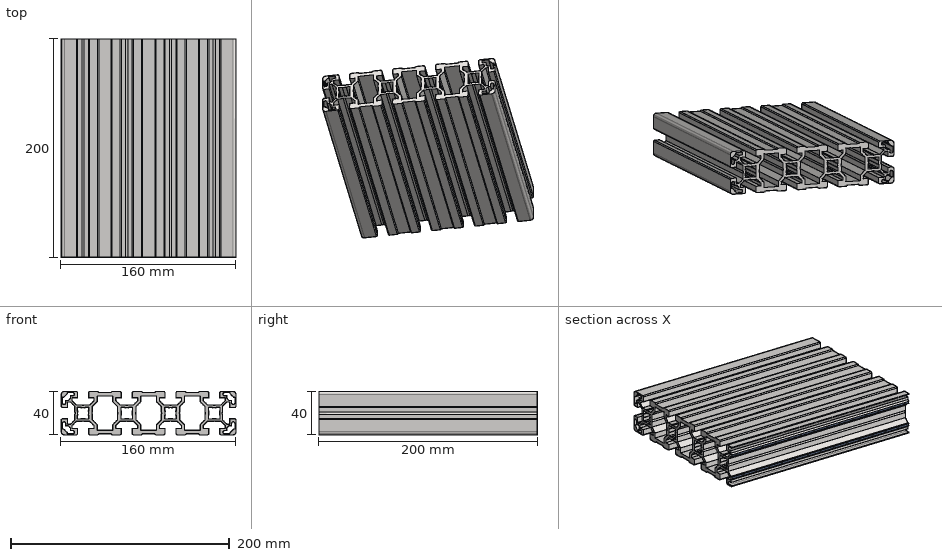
import cadquery as cq

length = 200.0
cell = 40.0
cell_count = 4
width = cell * cell_count
half_cell = cell / 2
corner_radius = 3.0

slot_mouth_half = 5.0
mouth_chamfer = 1.0
lip_thickness = 6.0
slot_half = 10.0
slot_wall_end = 11.5
slot_floor = 7.5
slope_offset = slot_wall_end - slot_half

groove_half = 1.0
groove_depth = 0.5

bore_half = 5.2
tapping_radius = 5.0
pad_half = 1.8

chamber_half = 7.0
chamber_roof = 15.5
chamber_belly_half = 11.5
chamber_wall_end = 10.5
chamber_belly_end = chamber_wall_end - (chamber_belly_half - chamber_half)

recess_half = 5.5
recess_depth = 1.0
recess_slope = 1.0

pocket_skin = 1.2
lobe_end = 12.0
lobe_inner = 4.0
lobe_radius = (lobe_inner - pocket_skin) / 2
boss_reach = 5.5
boss_step = 2.2
neck_reach = 8.5
neck_step = 6.5

cell_centres = [(i - (cell_count - 1) / 2) * cell for i in range(cell_count)]
cell_boundaries = [(a + b) / 2 for a, b in zip(cell_centres, cell_centres[1:])]


def full_length(outline):
    """Extrude a section outline along the whole part, centred on Y = 0."""
    return outline.extrude(length / 2, both=True)


def t_slot():
    """T-slot opening upward from a cell centred on the origin, with chamfered mouth edges."""
    lip_bottom = half_cell - lip_thickness
    floor_half = slot_floor - slope_offset
    mouth_top_half = slot_mouth_half + mouth_chamfer
    chamfer_end = half_cell - mouth_chamfer
    outline = (
        cq.Workplane("XZ")
        .moveTo(mouth_top_half, half_cell)
        .lineTo(slot_mouth_half, chamfer_end)
        .lineTo(slot_mouth_half, lip_bottom)
        .lineTo(slot_half, lip_bottom)
        .lineTo(slot_half, slot_wall_end)
        .lineTo(floor_half, slot_floor)
        .lineTo(groove_half, slot_floor)
        .threePointArc((0, slot_floor - groove_depth), (-groove_half, slot_floor))
        .lineTo(-floor_half, slot_floor)
        .lineTo(-slot_half, slot_wall_end)
        .lineTo(-slot_half, lip_bottom)
        .lineTo(-slot_mouth_half, lip_bottom)
        .lineTo(-slot_mouth_half, chamfer_end)
        .lineTo(-mouth_top_half, half_cell)
        .close()
    )
    return full_length(outline)


def all_slots():
    slot = t_slot()
    origin = (0, 0, 0)
    y_end = (0, 1, 0)
    upper = [slot.translate((x, 0, 0)) for x in cell_centres]
    lower = [slot.rotate(origin, y_end, 180).translate((x, 0, 0)) for x in cell_centres]
    left = slot.rotate(origin, y_end, -90).translate((cell_centres[0], 0, 0))
    right = slot.rotate(origin, y_end, 90).translate((cell_centres[-1], 0, 0))
    return upper + lower + [left, right]


def bore():
    corner_size = bore_half - pad_half
    corner_offset = (bore_half + pad_half) / 2
    tapping_hole = cq.Workplane("XZ").circle(tapping_radius)
    corners = (
        cq.Workplane("XZ")
        .rect(2 * corner_offset, 2 * corner_offset, forConstruction=True)
        .vertices()
        .rect(corner_size, corner_size)
    )
    return full_length(tapping_hole).union(full_length(corners))


def chamber():
    """Eight-sided hollow with a groove along each side wall."""
    groove_bottom = chamber_belly_half + groove_depth
    outline = (
        cq.Workplane("XZ")
        .moveTo(chamber_half, chamber_roof)
        .lineTo(chamber_half, chamber_wall_end)
        .lineTo(chamber_belly_half, chamber_belly_end)
        .lineTo(chamber_belly_half, groove_half)
        .threePointArc((groove_bottom, 0), (chamber_belly_half, -groove_half))
        .lineTo(chamber_belly_half, -chamber_belly_end)
        .lineTo(chamber_half, -chamber_wall_end)
        .lineTo(chamber_half, -chamber_roof)
        .lineTo(-chamber_half, -chamber_roof)
        .lineTo(-chamber_half, -chamber_wall_end)
        .lineTo(-chamber_belly_half, -chamber_belly_end)
        .lineTo(-chamber_belly_half, -groove_half)
        .threePointArc((-groove_bottom, 0), (-chamber_belly_half, groove_half))
        .lineTo(-chamber_belly_half, chamber_belly_end)
        .lineTo(-chamber_half, chamber_wall_end)
        .lineTo(-chamber_half, chamber_roof)
        .close()
    )
    return full_length(outline)


def recess():
    """Shallow channel with sloping sides in the top face."""
    outer_half = recess_half + recess_slope
    recess_floor = half_cell - recess_depth
    outline = (
        cq.Workplane("XZ")
        .moveTo(outer_half, half_cell)
        .lineTo(recess_half, recess_floor)
        .lineTo(-recess_half, recess_floor)
        .lineTo(-outer_half, half_cell)
        .close()
    )
    return full_length(outline)


def corner_pocket():
    """Two round-ended lobes along the faces of the upper left corner, joined at the corner."""
    lobe_middle = (pocket_skin + lobe_inner) / 2
    lobe_straight = lobe_end - lobe_radius
    outline = (
        cq.Workplane("XZ", origin=(-width / 2, 0, half_cell))
        .moveTo(boss_reach, -pocket_skin)
        .lineTo(lobe_straight, -pocket_skin)
        .threePointArc((lobe_end, -lobe_middle), (lobe_straight, -lobe_inner))
        .lineTo(neck_reach, -lobe_inner)
        .lineTo(neck_reach, -neck_step)
        .lineTo(neck_step, -neck_reach)
        .lineTo(lobe_inner, -neck_reach)
        .lineTo(lobe_inner, -lobe_straight)
        .threePointArc((lobe_middle, -lobe_end), (pocket_skin, -lobe_straight))
        .lineTo(pocket_skin, -boss_reach)
        .lineTo(boss_step, -boss_reach)
        .lineTo(boss_reach, -boss_step)
        .close()
    )
    return full_length(outline)


body = cq.Workplane("XY").box(width, length, cell).edges("|Y").fillet(corner_radius)

for slot in all_slots():
    body = body.cut(slot)

for x in cell_centres:
    body = body.cut(bore().translate((x, 0, 0)))

for x in cell_boundaries:
    body = body.cut(chamber().translate((x, 0, 0)))
    upper_recess = recess().translate((x, 0, 0))
    body = body.cut(upper_recess).cut(upper_recess.mirror("XY"))

upper_left = corner_pocket()
upper_right = upper_left.mirror("YZ")
for pocket in (upper_left, upper_right):
    body = body.cut(pocket).cut(pocket.mirror("XY"))

result = body